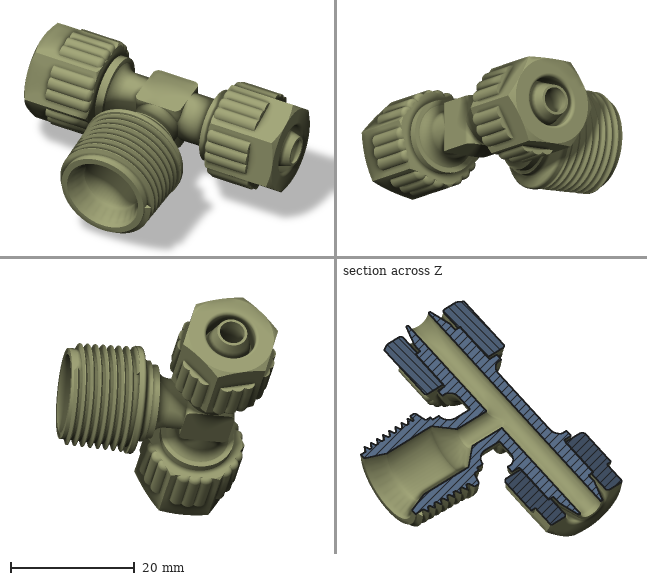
import cadquery as cq
import math


tube_radius = 4.0
flow_radius = 2.03
block_size = 2 * tube_radius
block_corner_radius = 1.0
flare_radius = 2.0
collar_radius = tube_radius + flare_radius
run_flare_start = 6.95
collar_inner_x = 8.75
collar_outer_x = 10.05
spigot_radius = 4.57
spigot_end_x = 18.0
barb_base_x = 19.5
barb_tip_x = 23.3
barb_base_radius = 3.58
barb_tip_radius = 2.46

branch_flare_start = 6.75
first_step_start = branch_flare_start + flare_radius
second_step_start = 10.0
second_step_radius = 6.58
second_step_end = 10.71
flange_root_fillet = 0.35
flange_cone_end = 11.45
flange_cone_end_radius = 8.4
flange_start = 11.9
flange_end = 12.55
flange_radius = 8.75
branch_end = 23.5
end_band_start = 22.3
end_band_radius = 7.4
core_top_radius = 7.7

mouth_radius = 6.4
mouth_depth = 3.5
branch_bore_radius = 5.0
branch_bore_bottom = 11.0
bore_cone_height = branch_bore_radius - flow_radius

thread_pitch = 1.27
thread_turns = 8
thread_start = flange_end
thread_taper = 1 / 32
core_tip_radius = core_top_radius - (branch_end - flange_start) * thread_taper
tooth_height = 0.9
tooth_base_width = 1.0
tooth_crest_width = 0.12
tooth_root_sink = 0.15

nut_across_flats = 14.0
nut_corner_radius = nut_across_flats / math.sqrt(3)
nut_inner_x = 10.45
nut_outer_x = 22.3
nut_bore_radius = 4.09
nut_lip_radius = 0.5
chamfer_slope = math.tan(math.radians(30))
outer_chamfer_radius = nut_across_flats / 2
inner_chamfer_radius = 7.65
nut_rotations = {"left": 0, "right": 15}

rib_radius = 1.2
rib_pitch_radius = nut_corner_radius - rib_radius
rib_end_x = 18.05
rib_nose_radius = 0.7
rib_spacing_angle = 15
ribs_per_flat = 3
flat_count = 6


def make_run_half():
    """+X half of the run as a turned shape: tube, flare, collar, spigot and tapered barb."""
    flare_rise = flare_radius - math.sqrt(flare_radius**2 - (collar_inner_x - run_flare_start) ** 2)
    half_angle = math.asin((collar_inner_x - run_flare_start) / flare_radius) / 2
    flare_middle = (
        run_flare_start + flare_radius * math.sin(half_angle),
        tube_radius + flare_radius * (1 - math.cos(half_angle)),
    )
    return (
        cq.Workplane("XY")
        .moveTo(0, 0)
        .lineTo(0, tube_radius)
        .lineTo(run_flare_start, tube_radius)
        .threePointArc(flare_middle, (collar_inner_x, tube_radius + flare_rise))
        .lineTo(collar_inner_x, collar_radius)
        .lineTo(collar_outer_x, collar_radius)
        .lineTo(collar_outer_x, spigot_radius)
        .lineTo(spigot_end_x, spigot_radius)
        .lineTo(spigot_end_x, barb_base_radius)
        .lineTo(barb_base_x, barb_base_radius)
        .lineTo(barb_tip_x, barb_tip_radius)
        .lineTo(barb_tip_x, 0)
        .close()
        .revolve(360, (0, 0, 0), (1, 0, 0))
    )


def make_branch():
    """Unthreaded part of the branch, turned about Y: stem, flare, two steps and flange."""
    flare_middle = (
        tube_radius + flare_radius * (1 - math.sqrt(0.5)),
        -branch_flare_start - flare_radius * math.sqrt(0.5),
    )
    return (
        cq.Workplane("XY")
        .moveTo(0, 0)
        .lineTo(tube_radius, 0)
        .lineTo(tube_radius, -branch_flare_start)
        .threePointArc(flare_middle, (collar_radius, -first_step_start))
        .lineTo(collar_radius, -second_step_start)
        .lineTo(second_step_radius, -second_step_start)
        .lineTo(second_step_radius, -second_step_end)
        .tangentArcPoint((flange_root_fillet, -flange_root_fillet))
        .lineTo(flange_cone_end_radius, -flange_cone_end)
        .tangentArcPoint((flange_radius, -flange_start), relative=False)
        .lineTo(flange_radius, -flange_end)
        .lineTo(0, -flange_end)
        .close()
        .revolve(360, (0, 0, 0), (0, 1, 0))
    )


def make_threaded_end():
    """Tapered core with a right-handed helical tooth, built along Z and then turned towards -Y."""
    core = (
        cq.Workplane("XZ")
        .moveTo(0, flange_start)
        .lineTo(core_top_radius, flange_start)
        .lineTo(core_tip_radius, branch_end)
        .lineTo(0, branch_end)
        .close()
        .revolve(360, (0, 0, 0), (0, 1, 0))
    )
    root_radius = core_top_radius - tooth_root_sink
    path = cq.Wire.makeHelix(
        thread_pitch,
        thread_pitch * thread_turns,
        root_radius,
        angle=-math.degrees(math.atan(thread_taper)),
    )
    tooth = (
        cq.Workplane("XZ")
        .moveTo(root_radius, -tooth_base_width / 2)
        .lineTo(core_top_radius + tooth_height, -tooth_crest_width / 2)
        .lineTo(core_top_radius + tooth_height, tooth_crest_width / 2)
        .lineTo(root_radius, tooth_base_width / 2)
        .close()
        .sweep(cq.Workplane(path), isFrenet=True)
    )
    end_band = (
        cq.Workplane("XY", origin=(0, 0, end_band_start))
        .circle(end_band_radius)
        .extrude(branch_end - end_band_start)
    )
    threaded = core.union(tooth.translate((0, 0, thread_start)), clean=False)
    threaded = threaded.union(end_band, clean=False)
    return threaded.rotate((0, 0, 0), (1, 0, 0), 90)


def make_branch_bore():
    """Branch bore: tapered mouth, straight bore, conical bottom and flow passage to the run."""
    return (
        cq.Workplane("XY")
        .moveTo(0, 0)
        .lineTo(flow_radius, 0)
        .lineTo(flow_radius, -branch_bore_bottom + bore_cone_height)
        .lineTo(branch_bore_radius, -branch_bore_bottom)
        .lineTo(branch_bore_radius, -branch_end + mouth_depth)
        .lineTo(mouth_radius, -branch_end)
        .lineTo(0, -branch_end)
        .close()
        .revolve(360, (0, 0, 0), (0, 1, 0))
    )


def make_tee():
    block = cq.Workplane("XY").box(block_size, block_size, block_size)
    block = block.edges("|Z").fillet(block_corner_radius)
    run_half = make_run_half()
    run_bore = cq.Workplane("YZ").circle(flow_radius).extrude(barb_tip_x, both=True)
    tee = run_half.union(run_half.mirror("YZ")).union(block).union(make_branch())
    tee = tee.union(make_threaded_end(), clean=False)
    return tee.cut(run_bore, clean=False).cut(make_branch_bore(), clean=False)


def make_nut_envelope():
    """Turned outline that bevels the hexagon corners at both ends of a nut."""
    outer_bevel = (nut_corner_radius - outer_chamfer_radius) * chamfer_slope
    inner_bevel = (nut_corner_radius - inner_chamfer_radius) * chamfer_slope
    return (
        cq.Workplane("XY")
        .moveTo(nut_inner_x, 0)
        .lineTo(nut_inner_x, inner_chamfer_radius)
        .lineTo(nut_inner_x + inner_bevel, nut_corner_radius)
        .lineTo(nut_outer_x - outer_bevel, nut_corner_radius)
        .lineTo(nut_outer_x, outer_chamfer_radius)
        .lineTo(nut_outer_x, 0)
        .close()
        .revolve(360, (0, 0, 0), (1, 0, 0))
    )


def make_rib(angle):
    """Round grip rib along X with a rounded nose at the collar end."""
    rib = (
        cq.Workplane("YZ", origin=(nut_inner_x, 0, 0))
        .center(0, rib_pitch_radius)
        .circle(rib_radius)
        .extrude(rib_end_x - nut_inner_x)
        .faces("<X")
        .edges()
        .fillet(rib_nose_radius)
    )
    return rib.rotate((0, 0, 0), (1, 0, 0), angle)


def make_nut_bore():
    """Nut bore: socket that fits the spigot, hose clearance bore and rounded entry lip."""
    lip_inset = nut_lip_radius * (1 - math.sqrt(0.5))
    return (
        cq.Workplane("XY")
        .moveTo(nut_inner_x, 0)
        .lineTo(nut_inner_x, spigot_radius)
        .lineTo(spigot_end_x, spigot_radius)
        .lineTo(spigot_end_x, nut_bore_radius)
        .lineTo(nut_outer_x - nut_lip_radius, nut_bore_radius)
        .threePointArc(
            (nut_outer_x - lip_inset, nut_bore_radius + lip_inset),
            (nut_outer_x, nut_bore_radius + nut_lip_radius),
        )
        .lineTo(nut_outer_x, 0)
        .close()
        .revolve(360, (0, 0, 0), (1, 0, 0))
    )


def make_nut(rotation):
    """Nut on the +X end, its hexagon corners starting `rotation` degrees from +Y towards +Z."""
    nut = (
        cq.Workplane("YZ", origin=(nut_inner_x, 0, 0))
        .polygon(flat_count, 2 * nut_corner_radius)
        .extrude(nut_outer_x - nut_inner_x)
        .intersect(make_nut_envelope())
    )
    ribs = []
    for flat in range(flat_count):
        for rib in range(ribs_per_flat):
            offset = (rib - (ribs_per_flat - 1) / 2) * rib_spacing_angle
            ribs.append(make_rib(flat * 360 / flat_count + offset).val())
    nut = cq.Workplane(nut.val().fuse(*ribs).clean())
    return nut.cut(make_nut_bore()).rotate((0, 0, 0), (1, 0, 0), rotation)


tee = make_tee()
left_nut = make_nut(nut_rotations["left"]).mirror("YZ")
right_nut = make_nut(nut_rotations["right"])

result = cq.Compound.makeCompound([tee.val(), left_nut.val(), right_nut.val()])